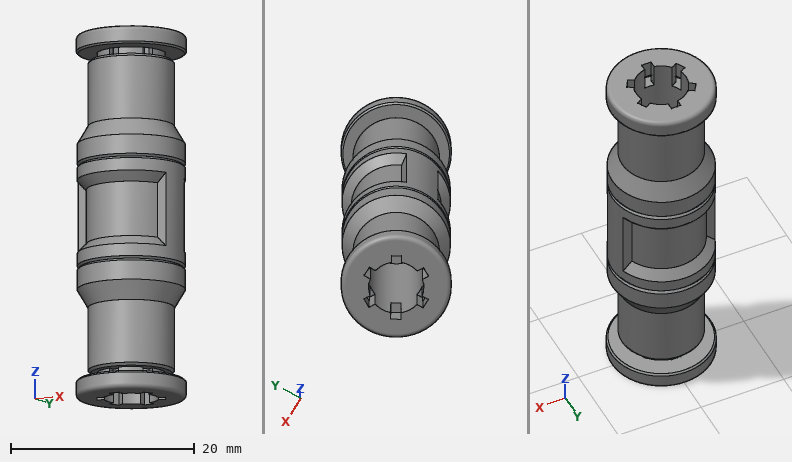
import cadquery as cq

half_length = 20.15
bore_diameter = 3.7

flange_diameter = 12.0
flange_thickness = 1.97
flange_fillet = 0.5
flange_edge_chamfer = 0.2
collet_gap = 0.85
collet_outer_diameter = 7.45
socket_diameter = 6.0
socket_depth = 14.1
slot_count = 6
slot_width = 1.13

neck_diameter = 9.45
body_diameter = 11.8
neck_chamfer = 0.3
neck_end_height = 10.08
shoulder_height = 8.05
groove_height = 5.7
groove_half_width = 0.25
groove_depth = 0.25

recess_floor_diameter = 9.85
recess_outer_height = 4.07
recess_floor_height = 3.02
land_width = 3.95

body_radius = body_diameter / 2
body_end_height = half_length - flange_thickness - collet_gap


def revolve_profile(points):
    """Revolve a closed (radius, height) outline about Z."""
    return cq.Workplane("XZ").polyline(points).close().revolve(360, (0, 0), (0, 1))


def half_body():
    neck_radius = neck_diameter / 2
    groove_radius = body_radius - groove_depth
    return revolve_profile([
        (0, 0),
        (body_radius, 0),
        (body_radius, groove_height - groove_half_width),
        (groove_radius, groove_height),
        (body_radius, groove_height + groove_half_width),
        (body_radius, shoulder_height),
        (neck_radius, neck_end_height),
        (neck_radius, body_end_height - neck_chamfer),
        (neck_radius - neck_chamfer, body_end_height),
        (0, body_end_height),
    ])


def collet():
    flange_bottom = half_length - flange_thickness
    flange = (
        cq.Workplane("XY", origin=(0, 0, flange_bottom))
        .circle(flange_diameter / 2)
        .extrude(flange_thickness)
        .faces(">Z").edges().fillet(flange_fillet)
        .faces("<Z").edges().chamfer(flange_edge_chamfer)
    )
    sleeve = (
        cq.Workplane("XY", origin=(0, 0, body_end_height))
        .circle(collet_outer_diameter / 2)
        .extrude(collet_gap)
    )
    return flange.union(sleeve)


def collet_slots():
    """Radial slots through the collet that end flush with the body's end face."""
    reach = collet_outer_diameter / 2
    slot_height = half_length - body_end_height
    slots = cq.Workplane("XY")
    for index in range(slot_count):
        slot = (
            cq.Workplane("XY", origin=(0, 0, body_end_height))
            .rect(reach, slot_width)
            .extrude(slot_height)
            .translate((reach / 2, 0, 0))
            .rotate((0, 0, 0), (0, 0, 1), 90 + index * 360 / slot_count)
        )
        slots = slots.union(slot)
    return slots


def socket():
    return (
        cq.Workplane("XY", origin=(0, 0, half_length - socket_depth))
        .circle(socket_diameter / 2)
        .extrude(socket_depth)
    )


def grip_recesses():
    floor_radius = recess_floor_diameter / 2
    ring = revolve_profile([
        (floor_radius, -recess_floor_height),
        (body_radius, -recess_outer_height),
        (body_radius, recess_outer_height),
        (floor_radius, recess_floor_height),
    ])
    lands = cq.Workplane("XY").box(body_diameter, land_width, 2 * recess_outer_height)
    return ring.cut(lands)


upper_half = half_body().union(collet()).cut(socket()).cut(collet_slots())
lower_half = upper_half.rotate((0, 0, 0), (1, 0, 0), 180)
bore = cq.Workplane("XY").circle(bore_diameter / 2).extrude(half_length, both=True)
result = upper_half.union(lower_half).cut(bore).cut(grip_recesses()).clean()